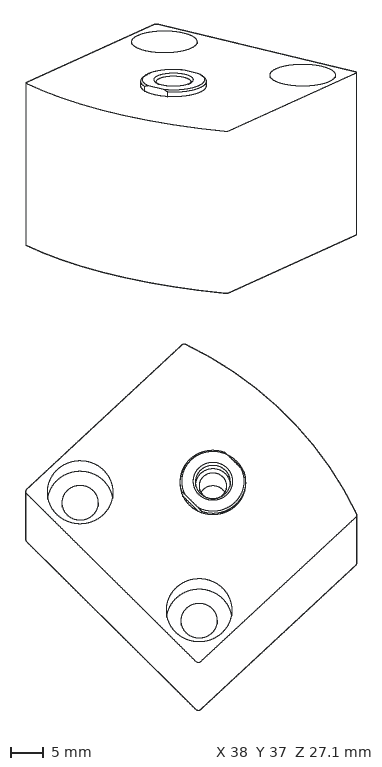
import cadquery as cq
import math

width = 38.0
depth = 37.0
side_depth = 33.7
height = 26.1
corner_radius = 0.5

bolt_spacing = 26.0
bolt_back_inset = 6.0
bolt_diameter = 5.5
counterbore_diameter = 10.0
counterbore_depth = 5.7

rod_back_inset = 21.5
rod_diameter = 10.0
rod_projection = 1.0
rod_embedment = 15.2
rod_rim_chamfer = 0.25
rod_across_flats = 9.0
flat_length = 2.0

mouth_diameter = 6.0
recess_diameter = 5.3
recess_depth = 2.2
core_diameter = 4.15
core_depth = 9.5
step_cone_angle = 120.0
drill_tip_angle = 118.0

back_y = rod_back_inset
front_y = back_y - depth
side_front_y = back_y - side_depth
bolt_y = back_y - bolt_back_inset
bolt_points = [(-bolt_spacing / 2, bolt_y), (bolt_spacing / 2, bolt_y)]
rod_bottom_z = height - rod_embedment
rod_top_z = height + rod_projection
flat_bottom_z = rod_top_z - flat_length


def cone_height(outer_diameter, inner_diameter, included_angle):
    """Axial height of a cone between two diameters."""
    half_angle = math.radians(included_angle / 2)
    return (outer_diameter - inner_diameter) / 2 / math.tan(half_angle)


def make_housing():
    """Block with a bowed front, two counterbored holes and the rod bore."""
    block = (
        cq.Workplane("XY")
        .moveTo(-width / 2, back_y)
        .lineTo(-width / 2, side_front_y)
        .threePointArc((0, front_y), (width / 2, side_front_y))
        .lineTo(width / 2, back_y)
        .close()
        .extrude(height)
        .edges("|Z")
        .fillet(corner_radius)
    )
    top = cq.Workplane("XY", origin=(0, 0, height))
    bolt_holes = top.pushPoints(bolt_points).circle(bolt_diameter / 2).extrude(-height)
    counterbores = top.pushPoints(bolt_points).circle(counterbore_diameter / 2).extrude(-counterbore_depth)
    rod_bore = top.circle(rod_diameter / 2).extrude(-rod_embedment)
    return block.cut(bolt_holes).cut(counterbores).cut(rod_bore)


def make_rod_hole():
    """Revolved cutter: chamfered mouth, recess, conical step, core and drill tip."""
    mouth_radius = mouth_diameter / 2
    recess_radius = recess_diameter / 2
    core_radius = core_diameter / 2
    mouth_end_z = rod_top_z - (mouth_radius - recess_radius)
    recess_end_z = rod_top_z - recess_depth
    step_end_z = recess_end_z - cone_height(recess_diameter, core_diameter, step_cone_angle)
    core_end_z = rod_top_z - core_depth
    tip_z = core_end_z - cone_height(core_diameter, 0, drill_tip_angle)
    profile = [
        (0, rod_top_z),
        (mouth_radius, rod_top_z),
        (recess_radius, mouth_end_z),
        (recess_radius, recess_end_z),
        (core_radius, step_end_z),
        (core_radius, core_end_z),
        (0, tip_z),
    ]
    return cq.Workplane("XZ").polyline(profile).close().revolve(360, (0, 0), (0, 1))


def make_rod():
    """Round rod with a chamfered rim and two wrench flats that run down past the housing top."""
    round_rod = (
        cq.Workplane("XY", origin=(0, 0, rod_bottom_z))
        .circle(rod_diameter / 2)
        .extrude(rod_embedment + rod_projection)
        .faces(">Z")
        .chamfer(rod_rim_chamfer)
    )
    flat_plane = cq.Workplane("XY", origin=(0, 0, flat_bottom_z))
    flat_stock = flat_plane.rect(rod_diameter, rod_diameter).extrude(flat_length)
    flat_core = flat_plane.rect(rod_diameter, rod_across_flats).extrude(flat_length)
    return round_rod.cut(flat_stock.cut(flat_core)).cut(make_rod_hole())


housing = make_housing()
rod = make_rod()

result = cq.Compound.makeCompound([housing.solids().val(), rod.solids().val()])